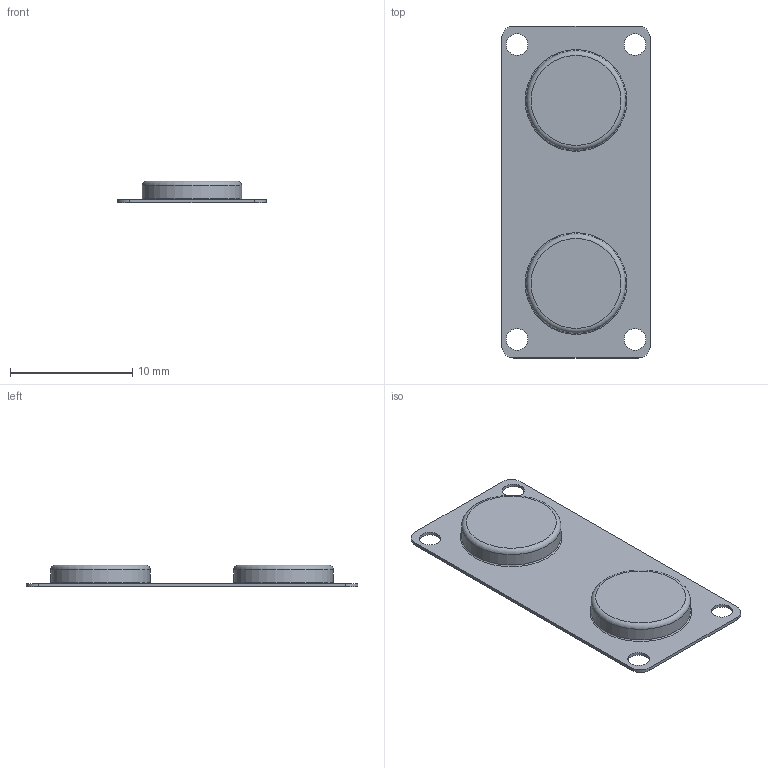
import cadquery as cq

plate_width = 12.192
plate_length = 27.178
plate_thickness = 0.254
corner_radius = 1.016

hole_diameter = 1.778
hole_pitch_x = 9.652
hole_pitch_y = 24.13

overall_height = 1.778
button_diameter = 8.128
button_pitch = 14.986
button_edge_radius = 0.381
button_root_radius = 0.1


def make_plate():
    """Flat plate with rounded corners and a through hole near each corner, underside at Z = 0."""
    plate = cq.Workplane("XY").box(
        plate_width, plate_length, plate_thickness, centered=(True, True, False)
    )
    plate = plate.edges("|Z").fillet(corner_radius)
    return (
        plate.faces(">Z")
        .workplane()
        .rarray(hole_pitch_x, hole_pitch_y, 2, 2)
        .hole(hole_diameter)
    )


def make_button(center_y):
    """Button turned about its own axis: rounded top edge, and a small concave fillet at its root."""
    radius = button_diameter / 2
    profile = (
        cq.Workplane("XZ")
        .lineTo(radius + button_root_radius, 0)
        .lineTo(radius + button_root_radius, plate_thickness)
        .radiusArc((radius, plate_thickness + button_root_radius), button_root_radius)
        .lineTo(radius, overall_height - button_edge_radius)
        .radiusArc((radius - button_edge_radius, overall_height), -button_edge_radius)
        .lineTo(0, overall_height)
        .close()
    )
    button = profile.revolve(360, (0, 0, 0), (0, 1, 0))
    return button.translate((0, center_y, 0))


result = make_plate()
for side in (-1, 1):
    result = result.union(make_button(side * button_pitch / 2))